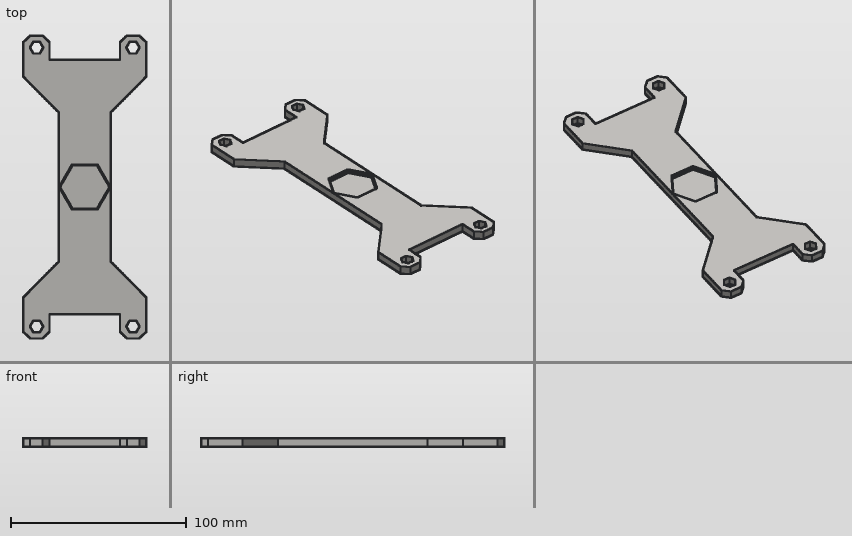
import cadquery as cq
import math

length = 172.6
width = 70.0
thickness = 5.0

waist_width = 29.7
waist_end_offset = 43.8
shoulder_end_offset = 23.5

lug_width = 15.0
lug_length = 13.8
lug_chamfer_x = 4.0
lug_chamfer_y = 3.8

hole_across_corners = 7.5
hole_end_offset = 6.9
hole_side_offset = 7.6

bevel_size = 0.5
pocket_across_corners = 28.1
pocket_depth = 2.0


def quarter_outline():
    """Corners of the +X, +Y quarter, from the waist side to the notch floor."""
    end = length / 2
    outer = width / 2
    inner = outer - lug_width
    return [
        (waist_width / 2, end - waist_end_offset),
        (outer, end - shoulder_end_offset),
        (outer, end - lug_chamfer_y),
        (outer - lug_chamfer_x, end),
        (inner + lug_chamfer_x, end),
        (inner, end - lug_chamfer_y),
        (inner, end - lug_length),
    ]


def make_plate():
    """Plate symmetric about X and Y, with its bottom face on Z = 0."""
    right_top = quarter_outline()
    left_top = [(-x, y) for x, y in reversed(right_top)]
    top_half = right_top + left_top
    bottom_half = [(-x, -y) for x, y in top_half]
    return cq.Workplane("XY").polyline(top_half + bottom_half).close().extrude(thickness)


def cut_lug_holes(plate):
    """Cut one hexagonal hole through each lug."""
    spacing_x = width - 2 * hole_side_offset
    spacing_y = length - 2 * hole_end_offset
    holes = (
        cq.Workplane("XY")
        .rarray(spacing_x, spacing_y, 2, 2)
        .polygon(6, hole_across_corners)
        .extrude(thickness)
    )
    return plate.cut(holes)


def cut_pocket(plate):
    """Cut the straight-walled central pocket and the bevel around its rim."""
    pocket = (
        cq.Workplane("XY")
        .workplane(offset=thickness - pocket_depth)
        .polygon(6, pocket_across_corners)
        .extrude(pocket_depth)
    )
    bevel_across_corners = pocket_across_corners + 2 * bevel_size / math.cos(math.radians(30))
    bevel = (
        cq.Workplane("XY")
        .workplane(offset=thickness - bevel_size)
        .polygon(6, pocket_across_corners)
        .workplane(offset=bevel_size)
        .polygon(6, bevel_across_corners)
        .loft(ruled=True)
    )
    return plate.cut(pocket).cut(bevel)


result = cut_pocket(cut_lug_holes(make_plate()))